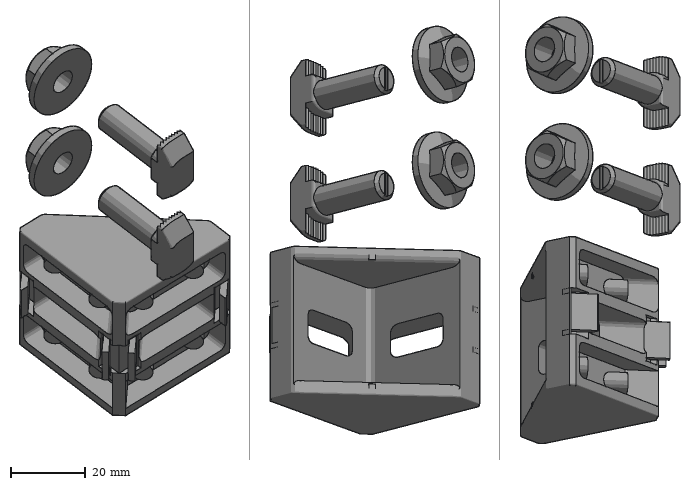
import cadquery as cq
import math


side = 41.4
height = 42.1
leg_thickness = 9.4
gusset_thickness = 4.4
corner_chamfer = 2.6
tip_chamfer = 1.3
blend_radius = 2.0
gusset_edge_radius = 2.2
rim_radius = 0.5

pocket_end = 38.7
pocket_depth = 6.5
pocket_low = 3.0
pocket_high = 13.0

slot_near = 16.7
slot_far = 35.3
slot_height = 9.5

stub_radius = 2.93
stub_far = 32.9
stub_pitch = 18.3
stub_rise = 2.7

bump_size = 1.8
bump_low = 2.0
bump_high = 3.4
bump_y = 25.7

tab_reach = 3.8
tab_height = 10.2
near_tab_width = 2.6
far_tab_width = 2.9
near_tab = 6.3
far_tab = 39.5
far_tab_limit = 35.1

relief_height = 13.0
near_relief = (8.1, 3.3)
near_relief_depth = 1.3
far_relief = (41.1, 34.5)
far_relief_depth = 3.8

bolt_spacing = 30.0
flange_radius = 10.4
axis_y = 9.7
top_axis_z = 106.5 - flange_radius
total_length = 56.8

hex_across_flats = 13.0
hex_end_radius = 6.3
nut_length = 8.0
flange_rim = 2.0
flange_slope = 0.25
bore_radius = 3.4

shank_radius = 4.0
shank_tip_chamfer = 1.0
tip_start = 25.9
neck_start = 47.9
head_start = 50.9
tip_slot_width = 1.1
tip_slot_depth = 0.2
head_width = 8.4
head_half_length = 9.9
head_slope = 3.9
head_edge_radius = 0.9
neck_half_length = 5.0
neck_edge_radius = 0.9
tooth_pitch = 1.0
tooth_depth = 0.6
groove_count = 8

mid_z = height / 2
x_start = -side
x_end = x_start + total_length
mirror_normal = (1, 1, 0)


def slab(points, z_low, z_high):
    """Prism on an XY outline between two heights."""
    return cq.Workplane("XY").workplane(offset=z_low).polyline(points).close().extrude(z_high - z_low)


def centred_slab(points, size):
    return slab(points, mid_z - size / 2, mid_z + size / 2)


def both_legs(shape):
    """The feature of the -X leg together with its mirror image in the +Y leg."""
    return shape.union(shape.mirror(mirror_normal))


def bracket_blank():
    outline = [
        (-side, tip_chamfer),
        (-side + tip_chamfer, 0),
        (-corner_chamfer, 0),
        (0, corner_chamfer),
        (0, side - tip_chamfer),
        (-tip_chamfer, side),
        (-leg_thickness, side),
        (-side, leg_thickness),
    ]
    blank = slab(outline, 0, height)
    for x, y in ((-side, leg_thickness), (-leg_thickness, side)):
        slope_end = cq.selectors.NearestToPointSelector((x, y, mid_z))
        blank = blank.edges("|Z").edges(slope_end).fillet(blend_radius)
    return blank.faces("<Z or >Z").edges().fillet(rim_radius)


def cavity():
    """Space between the legs and the two gussets, with a rounded corner where the legs meet."""
    t = leg_thickness
    far = 2 * side
    space = slab([(-t, t), (-t, far), (-far, t)], gusset_thickness, height - gusset_thickness)
    corner = cq.selectors.NearestToPointSelector((-t, t, mid_z))
    return space.edges("|Z").edges(corner).fillet(blend_radius)


def rim_rounding():
    """Material taken off the inner edges of the sloped gusset rims, ending at the leg faces."""
    mid_slope = (side + leg_thickness) / 2
    r = gusset_edge_radius
    rim_plane = cq.Plane((-mid_slope, mid_slope, gusset_thickness), (1, -1, 0), (-1, -1, 0))
    lower = (
        cq.Workplane(rim_plane)
        .moveTo(-r, 0)
        .lineTo(-r, -r)
        .lineTo(0, -r)
        .radiusArc((r, 0), r)
        .close()
        .extrude(side, both=True)
    )
    t = leg_thickness
    between_legs = slab([(-t, t), (-t, 2 * side), (-2 * side, 2 * side), (-2 * side, t)], 0, height)
    upper = lower.mirror("XY", (0, 0, mid_z))
    return lower.union(upper).intersect(between_legs)


def leaning_cut(near, far, depth, z_low, z_high, round_near):
    """Opening whose wall near the corner leans at 45 degrees and whose far wall is square."""
    cut = slab([(-far, 0), (-near, 0), (-near - depth, depth), (-far, depth)], z_low, z_high)
    cut = cut.faces("<X").edges("|Y").fillet(blend_radius)
    if round_near:
        near_face = cq.selectors.DirectionMinMaxSelector(cq.Vector(1, 1, 0), True)
        cut = cut.faces(near_face).edges("not |Z").fillet(blend_radius)
    return cut


def stub(distance, z):
    """Slanted cylinder that rises from a pocket floor, square to its own axis at the free end."""
    direction = cq.Vector(1, -1, 0)
    root = cq.Vector(-distance, pocket_depth, z) - direction * stub_radius
    length = (stub_rise + stub_radius) * math.sqrt(2)
    rod = cq.Workplane(cq.Solid.makeCylinder(stub_radius, length, root, direction))
    below_floor = cq.Workplane("XY").box(4 * side, 2 * side, 2 * height)
    return rod.cut(below_floor.translate((0, pocket_depth + side, 0)))


def bumps():
    """Small blocks in the rounded gusset rims, flush with the sloped face."""
    step = bump_size / math.sqrt(2)
    x = bump_y - side - leg_thickness
    outline = [
        (x, bump_y),
        (x + step, bump_y + step),
        (x + 2 * step, bump_y),
        (x + step, bump_y - step),
    ]
    lower = slab(outline, bump_low, bump_high)
    return lower.union(slab(outline, height - bump_high, height - bump_low))


def tabs():
    inner = near_relief_depth
    end = near_tab - tab_reach
    near_outline = [
        (-near_tab - inner, inner),
        (-end, -tab_reach),
        (-end + near_tab_width / 2, -tab_reach + near_tab_width / 2),
        (-near_tab + near_tab_width - inner, inner),
    ]
    wall = far_relief[0]
    far_outline = [
        (-wall, far_relief_depth),
        (-wall, wall - far_tab),
        (-far_tab + tab_reach, -tab_reach),
        (-far_tab_limit, -tab_reach),
        (-far_tab_limit, far_tab_limit - far_tab + far_tab_width),
        (-far_tab + far_tab_width - far_relief_depth, far_relief_depth),
    ]
    return centred_slab(near_outline, tab_height).union(centred_slab(far_outline, tab_height))


def relief(ends, depth):
    far, near = ends
    return centred_slab([(-far, 0), (-far, depth), (-near - depth, depth), (-near, 0)], relief_height)


def make_bracket():
    lower_z = (pocket_low, pocket_high)
    upper_z = (height - pocket_high, height - pocket_low)
    cuts = leaning_cut(corner_chamfer, pocket_end, pocket_depth, *lower_z, False)
    cuts = cuts.union(leaning_cut(corner_chamfer, pocket_end, pocket_depth, *upper_z, True))
    slot_z = (mid_z - slot_height / 2, mid_z + slot_height / 2)
    cuts = cuts.union(leaning_cut(slot_near - leg_thickness, slot_far, leg_thickness, *slot_z, True))
    cuts = cuts.union(relief(near_relief, near_relief_depth))
    cuts = cuts.union(relief(far_relief, far_relief_depth))

    far = near_relief[0]
    window = [(-far, 0), (-far, near_relief_depth), (0, near_relief_depth), (0, 0)]
    cuts = cuts.union(centred_slab(window, tab_height))

    additions = tabs()
    for z in (sum(lower_z) / 2, sum(upper_z) / 2):
        for distance in (stub_far, stub_far - stub_pitch):
            additions = additions.union(stub(distance, z))

    bracket = bracket_blank().cut(cavity()).cut(rim_rounding()).cut(both_legs(cuts))
    return bracket.union(both_legs(additions)).union(bumps())


def revolve_x(points):
    return cq.Workplane("XY").polyline(points).close().revolve(360, (0, 0, 0), (1, 0, 0))


def make_nut():
    """Flange nut on the X axis with its hexagon end at x = 0."""
    corner_radius = hex_across_flats / math.sqrt(3)
    rim_start = nut_length - flange_rim
    hexagon = cq.Workplane("YZ").polygon(6, 2 * corner_radius).extrude(rim_start)
    hexagon = hexagon.rotate((0, 0, 0), (1, 0, 0), 90)
    end_cone = revolve_x([
        (0, 0),
        (0, hex_end_radius),
        (flange_radius - hex_end_radius, flange_radius),
        (nut_length, flange_radius),
        (nut_length, 0),
    ])
    flange = revolve_x([
        (rim_start - flange_slope * flange_radius, 0),
        (rim_start, flange_radius),
        (nut_length, flange_radius),
        (nut_length, 0),
    ])
    bore = cq.Workplane("YZ").circle(bore_radius).extrude(nut_length)
    return hexagon.intersect(end_cone).union(flange).cut(bore)


def twist_rounded(block, turned, half_length, x_low, x_high):
    """Replaces two opposite quarters of a block by a turned shape so that it can twist in a groove."""
    for sign in (1, -1):
        quarter = cq.Workplane("XY").box(
            x_high - x_low, half_length, half_length
        ).translate(((x_low + x_high) / 2, -sign * half_length / 2, sign * half_length / 2))
        block = block.cut(quarter.cut(turned))
    return block


def make_head():
    length = x_end - x_start
    slope_start = length - head_slope
    end_half = head_half_length - head_slope
    half_profile = [
        (head_start, 0),
        (head_start, head_half_length),
        (slope_start, head_half_length),
        (length, end_half),
        (length, 0),
    ]
    profile = half_profile[1:-1] + [(x, -z) for x, z in reversed(half_profile[1:-1])]
    block = cq.Workplane("XZ").polyline(profile).close().extrude(head_width / 2, both=True)
    head = twist_rounded(block, revolve_x(half_profile), head_half_length, head_start, length)
    head = head.faces("<Y or >Y").edges("not <X").fillet(head_edge_radius)
    for i in range(groove_count):
        y = (i - (groove_count - 1) / 2) * tooth_pitch
        groove = slab(
            [
                (head_start, y - tooth_pitch / 2),
                (head_start + tooth_depth, y),
                (head_start, y + tooth_pitch / 2),
            ],
            -head_half_length,
            head_half_length,
        )
        head = head.cut(groove)
    return head


def make_neck():
    neck_end = head_start + tooth_depth
    size = neck_end - neck_start
    block = cq.Workplane("XY").box(size, head_width, 2 * neck_half_length)
    block = block.translate((neck_start + size / 2, 0, 0))
    turned = cq.Workplane("YZ").workplane(offset=neck_start).circle(neck_half_length).extrude(size)
    neck = twist_rounded(block, turned, neck_half_length, neck_start, neck_end)
    return neck.faces("<X").edges().fillet(neck_edge_radius)


def make_bolt():
    """T-head bolt on the X axis, placed along X from the nut ends."""
    shank = cq.Workplane("YZ").workplane(offset=tip_start).circle(shank_radius).extrude(head_start - tip_start)
    shank = shank.faces("<X").chamfer(shank_tip_chamfer)
    tip_slot = cq.Workplane("XY").box(2 * tip_slot_depth, tip_slot_width, 2 * shank_radius)
    shank = shank.cut(tip_slot.translate((tip_start, 0, 0)))
    return make_head().union(make_neck()).union(shank)


bracket = make_bracket()
nuts = []
bolts = []
for row in range(2):
    place = cq.Vector(x_start, axis_y, top_axis_z - row * bolt_spacing)
    nuts.append(make_nut().translate(place).val())
    bolts.append(make_bolt().translate(place).val())

result = cq.Compound.makeCompound([bracket.val(), *nuts, *bolts])